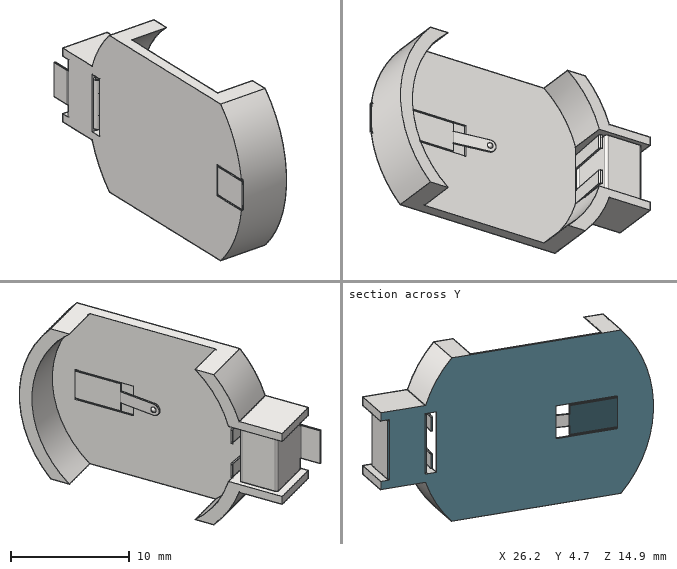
import cadquery as cq
import math


depth = 4.7
half_height = 7.45
outer_radius = 10.75
opening_half = 5.98
floor = 1.02
cavity_radius = math.hypot(opening_half, half_height)

neck_end = -14.28
neck_half = 3.52
channel_half = 2.73
block_front = -13.5
block_back = -10.18
block_top = 4.23
slot_end = -math.sqrt(cavity_radius**2 - channel_half**2)

sheet = 0.15
inner_bend = 0.08
outer_bend = inner_bend + sheet

overall_length = 26.25
lead_end = outer_radius - overall_length
lead_half = 1.63
saddle_half = 2.65
saddle_top = block_top + sheet
spring_half = 2.34
hook_radius = 0.32
spring_lean = 3.9
spring_kink = 4.44
lip_length = 0.18
lip_lean = 30.0
fork_half = 1.05

pad_half = 1.35
seat_half = 1.47
seat_start = 7.25
tongue_root = 3.07
tongue_length = 4.0
tongue_half = 0.55
tongue_slope = 7.3
bump_radius = 0.25
bump_height = 0.2

riser_inside = seat_start + sheet
strip_bottom = floor - sheet


def box(x0, x1, y0, y1, half_width):
    """Block between two X and two Y positions, centred on Z = 0."""
    return (
        cq.Workplane("XY")
        .box(x1 - x0, y1 - y0, 2 * half_width, centered=(False, False, True))
        .translate((x0, y0, 0))
    )


def disc(radius, y0, y1):
    """Cylinder on the cell axis."""
    return cq.Workplane("XZ", origin=(0, y0, 0)).circle(radius).extrude(y0 - y1)


def make_housing():
    flats = box(-outer_radius, outer_radius, 0, depth, half_height)
    body = disc(outer_radius, 0, depth).intersect(flats)
    neck = box(neck_end, block_back, 0, depth, neck_half)
    body = body.union(neck).cut(disc(cavity_radius, floor, depth))

    body = body.cut(box(neck_end, block_front, 0, depth, channel_half))
    body = body.cut(box(block_back, slot_end, 0, depth, channel_half))
    channel = box(neck_end, slot_end, 0, depth, channel_half)
    body = body.cut(channel.cut(make_block()))

    recess_start = tongue_root - sheet / math.tan(math.radians(tongue_slope))
    body = body.cut(box(seat_start, outer_radius, 0, sheet, seat_half))
    body = body.cut(box(seat_start, riser_inside, 0, floor, seat_half))
    return body.cut(box(recess_start, riser_inside, strip_bottom, floor, seat_half))


def make_block():
    """Solid block between the neck arms, its top edges rounded to fit the saddle."""
    block = box(block_front, block_back, 0, block_top, channel_half)
    return block.faces(">Y").edges("|Z").fillet(inner_bend)


def make_saddle():
    """Sheet folded over the block, with a front and a back leg."""
    front = block_front - sheet
    back = block_back + sheet
    cover = box(front, back, outer_bend, saddle_top, saddle_half)
    cover = cover.faces(">Y").edges("|Z").fillet(outer_bend)
    leg_end = box(block_back, back, 0, hook_radius, saddle_half)
    return cover.cut(make_block()).cut(leg_end)


def make_lead():
    """Flat solder lead, bent up into the front leg of the saddle."""
    front = block_front - sheet
    bend_x = block_front - outer_bend
    diagonal = math.sqrt(0.5)
    return (
        cq.Workplane("XY", origin=(0, 0, -lead_half))
        .moveTo(lead_end, 0)
        .lineTo(bend_x, 0)
        .threePointArc(
            (bend_x + outer_bend * diagonal, outer_bend - outer_bend * diagonal),
            (block_front, outer_bend),
        )
        .lineTo(front, outer_bend)
        .threePointArc(
            (bend_x + inner_bend * diagonal, outer_bend - inner_bend * diagonal),
            (bend_x, sheet),
        )
        .lineTo(lead_end, sheet)
        .close()
        .extrude(2 * lead_half)
    )


def make_spring():
    """Hook at the foot of the back leg and the forked spring that rises from it, its tips bent back."""
    lean = math.radians(spring_lean)
    centre_x = block_back + hook_radius
    centre_y = hook_radius
    inner_radius = hook_radius - sheet

    def hook_point(radius):
        return centre_x + radius * math.cos(lean), centre_y - radius * math.sin(lean)

    outer_start = hook_point(hook_radius)
    inner_start = hook_point(inner_radius)
    length = (spring_kink - outer_start[1]) / math.cos(lean)
    rise_x = length * math.sin(lean)
    rise_y = length * math.cos(lean)
    lip_x = -lip_length * math.sin(math.radians(lip_lean))
    lip_y = lip_length * math.cos(math.radians(lip_lean))
    spring = (
        cq.Workplane("XY", origin=(0, 0, -spring_half))
        .moveTo(block_back, centre_y)
        .threePointArc((centre_x, centre_y - hook_radius), outer_start)
        .line(rise_x, rise_y)
        .line(lip_x, lip_y)
        .line(inner_start[0] - outer_start[0], inner_start[1] - outer_start[1])
        .line(-lip_x, -lip_y)
        .lineTo(*inner_start)
        .threePointArc((centre_x, centre_y - inner_radius), (centre_x - inner_radius, centre_y))
        .close()
        .extrude(2 * spring_half)
    )
    fork_gap = box(centre_x, outer_start[0] + rise_x, outer_start[1], depth, fork_half)
    return spring.cut(fork_gap)


def make_spring_contact():
    return make_saddle().union(make_lead()).union(make_spring())


def make_tongue_contact():
    pad = box(seat_start, outer_radius, 0, sheet, pad_half)
    riser = box(seat_start, riser_inside, 0, floor, pad_half)
    strip = box(tongue_root, riser_inside, strip_bottom, floor, pad_half)
    base = pad.union(riser).union(strip)
    base = base.edges(cq.selectors.NearestToPointSelector((seat_start, 0, 0))).fillet(sheet)

    tip_x = tongue_root - tongue_length + tongue_half
    tongue = box(tip_x, tongue_root, strip_bottom, floor, tongue_half)
    tip = disc(tongue_half, strip_bottom, floor).translate((tip_x, 0, 0))
    bump_centre = floor + bump_height - bump_radius
    bump = cq.Workplane("XY").sphere(bump_radius).translate((tip_x, bump_centre, 0))
    bump = bump.intersect(disc(tongue_half, floor, depth).translate((tip_x, 0, 0)))
    tongue = tongue.union(tip).union(bump)
    tongue = tongue.rotate((tongue_root, strip_bottom, 0), (tongue_root, strip_bottom, 1), -tongue_slope)
    return base.union(tongue)


housing = make_housing()
spring_contact = make_spring_contact()
tongue_contact = make_tongue_contact()

result = cq.Compound.makeCompound(
    [housing.solids().val(), spring_contact.solids().val(), tongue_contact.solids().val()]
)